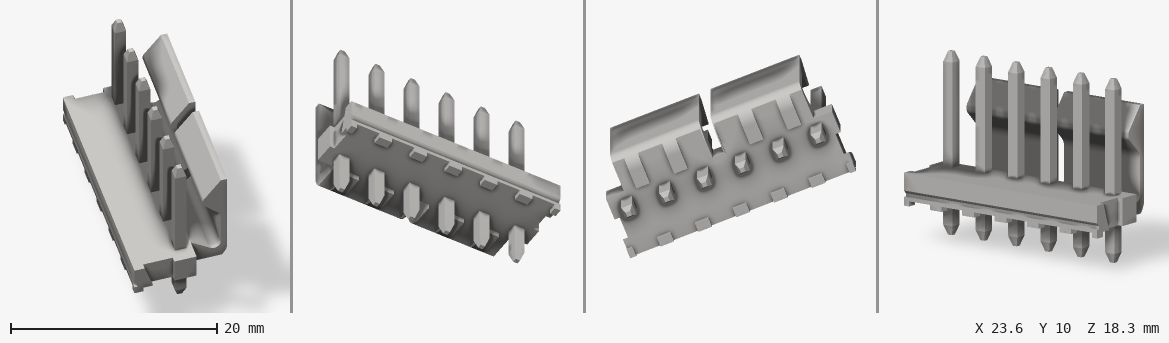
import cadquery as cq
import math


PIN_COUNT = 6
PITCH = 3.96
PIN_WIDTH = 1.14
PIN_TIP_WIDTH = 0.48
PIN_TIP_LENGTH = 1.0
PIN_BOTTOM = -3.54
PIN_LENGTH = 18.29
ROW_LENGTH = (PIN_COUNT - 1) * PITCH

BODY_LENGTH = 23.62
OVERALL_DEPTH = 10.01
BODY_BACK = 1.2
LATCH_BACK = 4.9
BODY_FRONT = LATCH_BACK - OVERALL_DEPTH
BODY_BOTTOM = 0.51
BODY_TOP = 3.28

FOOT_DEPTH = 0.94
SLOT_WIDTH = 2.54

GROOVE_DEPTH = 0.31
GROOVE_BOTTOM = 0.86
GROOVE_INNER_TOP = 1.2
GROOVE_TOP = GROOVE_INNER_TOP + GROOVE_DEPTH

NOTCH_DEPTH = 0.53
NOTCH_BACK = -1.05
NOTCH_FRONT_TOP = -4.06
NOTCH_FRONT_BOTTOM = -3.2

LATCH_GAP = 1.2
LATCH_LENGTH = (ROW_LENGTH - LATCH_GAP) / 2
LATCH_TOP = 11.32
ARM_THICKNESS = 0.64
ARM_INNER = LATCH_BACK - ARM_THICKNESS
HOOK_REACH = 2.49
HOOK_TIP = LATCH_BACK - HOOK_REACH
HOOK_UPPER = 8.94
HOOK_LOWER = 8.29
HOOK_ROOT = HOOK_LOWER - (ARM_INNER - HOOK_TIP)
RAMP_ANGLE = 36
RAMP_BOTTOM = BODY_TOP - (ARM_INNER - BODY_BACK) * math.tan(math.radians(RAMP_ANGLE))
HOOK_TIP_RADIUS = 0.58
HOOK_ROOT_RADIUS = 1.3
RAMP_RADIUS = 0.69
HEEL_RADIUS = 1.83


def extrude_along_row(profile, x_start, length):
    """Extrude a closed (y, z) profile along +X from x_start."""
    return cq.Workplane("YZ", origin=(x_start, 0, 0)).polyline(profile).close().extrude(length)


def fillet_row_edge(body, y, z, radius):
    """Round the edge that runs along X through the profile corner (y, z)."""
    bounds = body.val().BoundingBox()
    middle_x = (bounds.xmin + bounds.xmax) / 2
    return body.edges(cq.selectors.NearestToPointSelector((middle_x, y, z))).fillet(radius)


def make_base():
    profile = [
        (BODY_BACK, BODY_BOTTOM),
        (BODY_BACK, BODY_TOP),
        (BODY_FRONT, BODY_TOP),
        (BODY_FRONT, GROOVE_TOP),
        (BODY_FRONT + GROOVE_DEPTH, GROOVE_INNER_TOP),
        (BODY_FRONT + GROOVE_DEPTH, GROOVE_BOTTOM),
        (BODY_FRONT, GROOVE_BOTTOM),
        (BODY_FRONT, 0),
        (BODY_FRONT + FOOT_DEPTH, 0),
        (BODY_FRONT + FOOT_DEPTH, BODY_BOTTOM),
    ]
    return extrude_along_row(profile, -BODY_LENGTH / 2, BODY_LENGTH)


def make_end_notch(x_start):
    profile = [
        (NOTCH_BACK, BODY_BOTTOM),
        (NOTCH_BACK, BODY_TOP),
        (NOTCH_FRONT_TOP, BODY_TOP),
        (NOTCH_FRONT_BOTTOM, BODY_BOTTOM),
    ]
    return extrude_along_row(profile, x_start, NOTCH_DEPTH)


def make_latch(x_start):
    profile = [
        (BODY_BACK, 0),
        (LATCH_BACK, 0),
        (LATCH_BACK, LATCH_TOP),
        (ARM_INNER, LATCH_TOP),
        (HOOK_TIP, HOOK_UPPER),
        (HOOK_TIP, HOOK_LOWER),
        (ARM_INNER, HOOK_ROOT),
        (ARM_INNER, RAMP_BOTTOM),
        (BODY_BACK, BODY_TOP),
    ]
    latch = extrude_along_row(profile, x_start, LATCH_LENGTH)
    latch = fillet_row_edge(latch, LATCH_BACK, 0, HEEL_RADIUS)
    latch = fillet_row_edge(latch, ARM_INNER, RAMP_BOTTOM, RAMP_RADIUS)
    latch = fillet_row_edge(latch, ARM_INNER, HOOK_ROOT, HOOK_ROOT_RADIUS)
    latch = fillet_row_edge(latch, HOOK_TIP, HOOK_LOWER, HOOK_TIP_RADIUS)
    return fillet_row_edge(latch, HOOK_TIP, HOOK_UPPER, HOOK_TIP_RADIUS)


def make_underside_slot(x):
    """Clearance between neighbouring feet, open from front to back."""
    return (
        cq.Workplane("XY")
        .box(SLOT_WIDTH, OVERALL_DEPTH, BODY_BOTTOM, centered=(True, False, False))
        .translate((x, BODY_FRONT, 0))
    )


def make_pin(x):
    """Square pin with a tapered tip at each end."""
    shank_length = PIN_LENGTH - 2 * PIN_TIP_LENGTH
    pin = cq.Workplane("XY").box(PIN_WIDTH, PIN_WIDTH, shank_length)
    for end_face in (">Z", "<Z"):
        pin = (
            pin.faces(end_face)
            .workplane()
            .rect(PIN_WIDTH, PIN_WIDTH)
            .workplane(offset=PIN_TIP_LENGTH)
            .rect(PIN_TIP_WIDTH, PIN_TIP_WIDTH)
            .loft(combine=True)
        )
    return pin.translate((x, 0, PIN_BOTTOM + PIN_LENGTH / 2))


pin_positions = [index * PITCH - ROW_LENGTH / 2 for index in range(PIN_COUNT)]

result = make_base()
for notch_start in (-BODY_LENGTH / 2, BODY_LENGTH / 2 - NOTCH_DEPTH):
    result = result.cut(make_end_notch(notch_start))
for latch_start in (-ROW_LENGTH / 2, LATCH_GAP / 2):
    result = result.union(make_latch(latch_start))
for pin_x in pin_positions:
    result = result.cut(make_underside_slot(pin_x))
for pin_x in pin_positions:
    result = result.union(make_pin(pin_x))